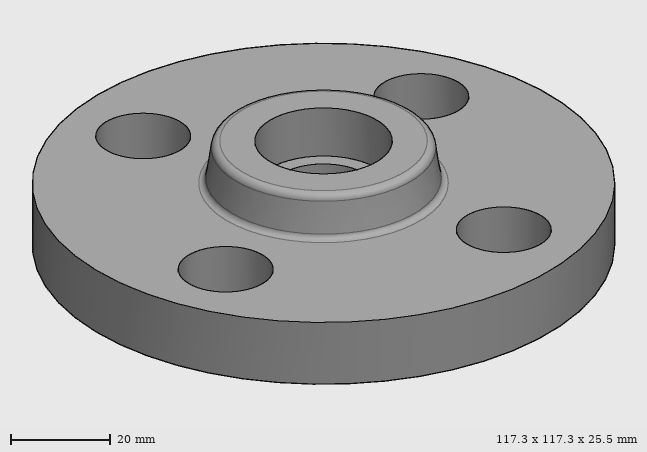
import cadquery as cq
import math

flange_diameter = 117.3
flange_thickness = 14.2
overall_height = 25.5
raised_face_diameter = 42.9
raised_face_height = 1.6

hub_base_diameter = 47.9
hub_taper_angle = 9.0
hub_root_fillet = 1.4
hub_rim_fillet = 1.8

bore_diameter = 21.0
socket_diameter = 27.7
socket_depth = 11.0

bolt_circle_diameter = 82.6
bolt_hole_diameter = 19.1
bolt_hole_count = 4

flange_top = raised_face_height + flange_thickness
hub_height = overall_height - flange_top
hub_top_diameter = hub_base_diameter - 2 * hub_height * math.tan(math.radians(hub_taper_angle))


def flange_body():
    """Revolve the plate, raised face and tapered hub as one solid."""
    profile = (
        cq.Workplane("XZ")
        .lineTo(raised_face_diameter / 2, 0)
        .lineTo(raised_face_diameter / 2, raised_face_height)
        .lineTo(flange_diameter / 2, raised_face_height)
        .lineTo(flange_diameter / 2, flange_top)
        .lineTo(hub_base_diameter / 2, flange_top)
        .lineTo(hub_top_diameter / 2, overall_height)
        .lineTo(0, overall_height)
        .close()
    )
    body = profile.revolve(360, (0, 0, 0), (0, 1, 0))
    body = body.faces(">Z").edges().fillet(hub_rim_fillet)
    return body.faces("%CONE").edges("<Z").fillet(hub_root_fillet)


def socket_and_bore():
    """Stepped cutter for the pipe socket and the smaller through bore."""
    bore = cq.Workplane("XY").circle(bore_diameter / 2).extrude(overall_height)
    socket_floor = overall_height - socket_depth
    socket = (
        cq.Workplane("XY", origin=(0, 0, socket_floor))
        .circle(socket_diameter / 2)
        .extrude(socket_depth)
    )
    return bore.union(socket)


def bolt_holes():
    """Cutters for the bolt holes, evenly spaced starting on the X axis."""
    return (
        cq.Workplane("XY")
        .polarArray(bolt_circle_diameter / 2, 0, 360, bolt_hole_count)
        .circle(bolt_hole_diameter / 2)
        .extrude(overall_height)
    )


result = flange_body().cut(socket_and_bore()).cut(bolt_holes())